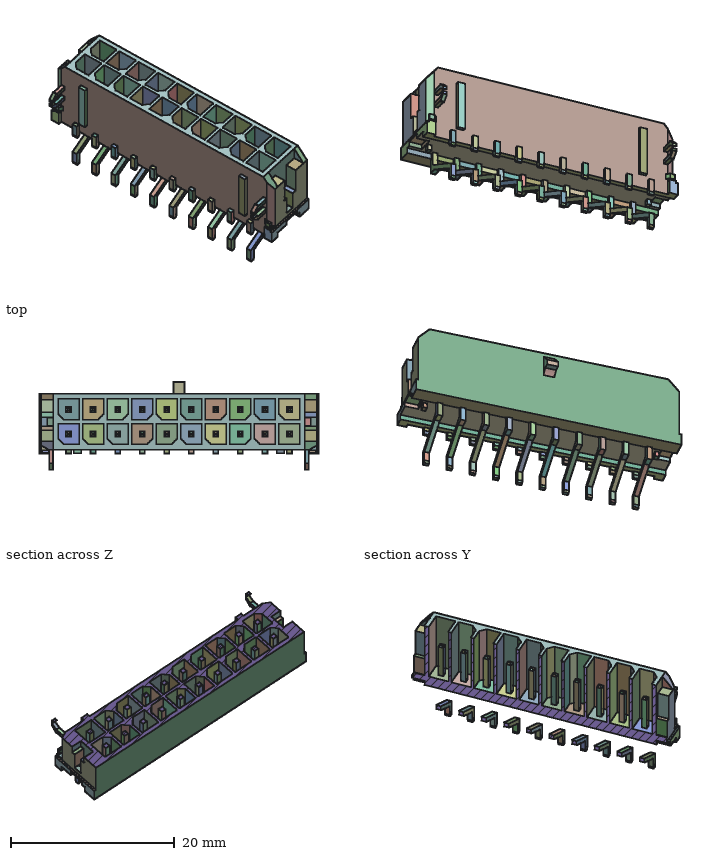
import cadquery as cq


LENGTH = 34.15
HALF_LENGTH = LENGTH / 2
DEPTH = 6.85
TOP = 9.9
BASE_TOP = 1.65
BASE_LEDGE = 0.27
END_X = HALF_LENGTH - BASE_LEDGE
TOP_CHAMFER_X = 1.45
TOP_CHAMFER_Z = 1.65
CORE_X = END_X - TOP_CHAMFER_X
SHOULDER_Z = TOP - TOP_CHAMFER_Z
BEVEL_WIDTH = 0.9
BEVEL_X = END_X - BEVEL_WIDTH
BEVEL_Y = 0.5
OVERHANG = 0.48
FOOT_TOP = 1.88
CHANNEL_Y = (0.72, 5.05)
CHANNEL_TOP = 0.72

UPPER_RECESS_Y = (1.02, 6.15)
WIDE_SLOT_Y = (2.4, 4.6)
WIDE_SLOT_FLOOR = 4.75
NARROW_SLOT_Y = (2.87, 4.0)
NARROW_SLOT_FLOOR = 2.25
NOTCH_Y = (2.45, 4.55)
NOTCH_TOP = 1.33

BACK_KEYS = "LRRRLLRRLL"
FRONT_KEYS = "LLLRRLLRL-"
COLUMNS = len(BACK_KEYS)
ROW_LENGTH = 26.98
PITCH = ROW_LENGTH / (COLUMNS - 1)
CAVITY_SIDE = 2.55
CAVITY_KEY = 0.72
CAVITY_FLOOR = 2.25
BACK_ROW_Y = DEPTH / 2 + PITCH / 2
FRONT_ROW_Y = DEPTH / 2 - PITCH / 2

PIN = 0.65
PIN_TOP = 6.83
PIN_TAPER = 0.2
POST_TOP = 1.23
POST_BOTTOM = -0.82
LEAD_BOTTOM = -5.5
LEAD_ELBOW_Z = -1.95
LEAD_BEND_RADIUS = 0.25
LEAD_OUTER_KNEE_Z = -3.52
LEAD_INNER_KNEE_Z = -3.85
LEAD_SLOPE_START_Y = 4.15
TIP_BEVEL_Y = 0.1
TIP_BEVEL_Z = 0.3
POST_BACK_BEVEL_Y = 0.27

RAIL_X = 12.4
RAIL_WIDTH = 0.95
RAIL_FRONT_Y = -0.45

LATCH_WIDTH = 1.4
LATCH_TIP_Y = 8.3
LATCH_FLAT_Y = 7.55
LATCH_RAMP_TOP = 9.32
LATCH_RAMP_END = 7.75
LATCH_UNDERSIDE = 7.05
LATCH_ROOT = 6.42
LATCH_ARC_MIDDLE = (7.27, 6.83)

CLIP_THICKNESS = 0.5
CLIP_X = CORE_X + CLIP_THICKNESS
CLIP_MID_Z = 5.33
CLIP_TIP_Y = -2.45
CLIP_BARB_Y = -1.65
CLIP_ARM_INNER = 0.6
CLIP_ARM_OUTER = 1.13
CLIP_BARB = 0.15
CLIP_TIP_INNER = 0.17
CLIP_TIP_OUTER = 0.55
CLIP_TAIL_X = (14.7, 15.2)
CLIP_TAIL_Y = (3.18, 3.82)
CLIP_SEAT_Y = (2.95, 3.93)
CLIP_SEAT_END_X = 16.12
CLIP_SEAT_DEPTH = 0.35

TAB_Z = (2.12, 2.8)
TAB_TIP_X = 16.7
TAB_BEND_X = 16.0
TAB_ROOT_X = 15.6
TAB_FRONT_Y = -0.38
TAB_BACK_Y = -0.07


def block(x, y, z):
    """Box spanning the given (low, high) range on each axis."""
    size = (x[1] - x[0], y[1] - y[0], z[1] - z[0])
    return cq.Workplane().box(*size, centered=False).translate((x[0], y[0], z[0]))


def side_profile(points, x_centre, width):
    """Extrude a (Y, Z) outline along X, centred on x_centre."""
    outline = cq.Workplane("YZ").polyline(points).close()
    return outline.extrude(width / 2, both=True).translate((x_centre, 0, 0))


def both_ends(shape):
    """The shape together with its mirror image about X = 0."""
    return shape.union(shape.mirror("YZ"))


def column_x(column):
    return column * PITCH - ROW_LENGTH / 2


def housing_body():
    half_outline = [(END_X, 0), (END_X, SHOULDER_Z), (CORE_X, TOP)]
    left_half = [(-x, z) for x, z in reversed(half_outline)]
    body = cq.Workplane("XZ").polyline(half_outline + left_half).close().extrude(-DEPTH)
    bevel = cq.Workplane().polyline([(BEVEL_X, 0), (END_X, 0), (END_X, BEVEL_Y)]).close().extrude(TOP)
    body = body.cut(both_ends(bevel))
    body = body.union(block((-HALF_LENGTH, HALF_LENGTH), (0, DEPTH), (0, BASE_TOP)))
    foot = block((BEVEL_X, HALF_LENGTH), (-OVERHANG, BEVEL_Y), (0, BASE_TOP))
    foot_cap = block((BEVEL_X, END_X), (-OVERHANG, BEVEL_Y), (0, FOOT_TOP))
    body = body.union(both_ends(foot.union(foot_cap)))
    return body.cut(block((-HALF_LENGTH, HALF_LENGTH), CHANNEL_Y, (0, CHANNEL_TOP)))


def end_recesses():
    beyond_core = (CORE_X, HALF_LENGTH)
    recesses = block(beyond_core, UPPER_RECESS_Y, (SHOULDER_Z, TOP))
    recesses = recesses.union(block(beyond_core, WIDE_SLOT_Y, (WIDE_SLOT_FLOOR, TOP)))
    recesses = recesses.union(block(beyond_core, NARROW_SLOT_Y, (NARROW_SLOT_FLOOR, TOP)))
    recesses = recesses.union(block(beyond_core, NOTCH_Y, (0, NOTCH_TOP)))
    seat_z = (NARROW_SLOT_FLOOR - CLIP_SEAT_DEPTH, NARROW_SLOT_FLOOR)
    recesses = recesses.union(block((CORE_X, CLIP_SEAT_END_X), CLIP_SEAT_Y, seat_z))
    return both_ends(recesses)


def cavity(x, y, key):
    """Square cavity open at the top, with an optional chamfered front corner."""
    depth = TOP - CAVITY_FLOOR
    pocket = cq.Workplane().box(CAVITY_SIDE, CAVITY_SIDE, depth, centered=(True, True, False))
    if key == "L":
        pocket = pocket.edges("|Z and <X and <Y").chamfer(CAVITY_KEY)
    elif key == "R":
        pocket = pocket.edges("|Z and >X and <Y").chamfer(CAVITY_KEY)
    return pocket.translate((x, y, CAVITY_FLOOR))


def contact(x, y):
    """Square contact standing in a cavity, tapered at its top."""
    pin = block((x - PIN / 2, x + PIN / 2), (y - PIN / 2, y + PIN / 2), (CHANNEL_TOP, PIN_TOP))
    return pin.faces(">Z").chamfer(PIN_TAPER)


def front_post(x):
    front, back = -OVERHANG, PIN - OVERHANG
    tip_z = POST_BOTTOM + TIP_BEVEL_Z
    outline = [
        (front, POST_TOP),
        (back, POST_TOP),
        (back, tip_z),
        (back - POST_BACK_BEVEL_Y, POST_BOTTOM),
        (front + TIP_BEVEL_Y, POST_BOTTOM),
        (front, tip_z),
    ]
    return side_profile(outline, x, PIN)


def bent_lead(x):
    """Lead that drops from the back row, slopes forward and drops again."""
    back, inner = BACK_ROW_Y + PIN / 2, BACK_ROW_Y - PIN / 2
    toe_front, toe_back = -OVERHANG, PIN - OVERHANG
    tip_z = LEAD_BOTTOM + TIP_BEVEL_Z
    slope = (LEAD_ELBOW_Z - LEAD_INNER_KNEE_Z) / (LEAD_SLOPE_START_Y - toe_back)
    bend_z = LEAD_OUTER_KNEE_Z + slope * (inner - toe_front)
    outline = [
        (back, CHANNEL_TOP),
        (back, LEAD_ELBOW_Z),
        (LEAD_SLOPE_START_Y, LEAD_ELBOW_Z),
        (toe_back, LEAD_INNER_KNEE_Z),
        (toe_back, tip_z),
        (toe_back - TIP_BEVEL_Y, LEAD_BOTTOM),
        (toe_front + TIP_BEVEL_Y, LEAD_BOTTOM),
        (toe_front, tip_z),
        (toe_front, LEAD_OUTER_KNEE_Z),
        (inner, bend_z),
        (inner, CHANNEL_TOP),
    ]
    lead = side_profile(outline, x, PIN)
    bend_edge = cq.NearestToPointSelector((x, inner, bend_z))
    return lead.edges("|X").edges(bend_edge).fillet(LEAD_BEND_RADIUS)


def latch():
    outline = (
        cq.Workplane("YZ")
        .moveTo(DEPTH, LATCH_RAMP_TOP)
        .lineTo(LATCH_TIP_Y, LATCH_RAMP_END)
        .lineTo(LATCH_TIP_Y, LATCH_UNDERSIDE)
        .lineTo(LATCH_FLAT_Y, LATCH_UNDERSIDE)
        .threePointArc(LATCH_ARC_MIDDLE, (DEPTH, LATCH_ROOT))
        .close()
    )
    return outline.extrude(LATCH_WIDTH / 2, both=True)


def board_clip():
    """Barbed two-arm fork reaching forward, with a tail peg under the housing end."""
    centre = (CLIP_X + CORE_X) / 2
    upper_arm = [
        (BEVEL_Y, CLIP_ARM_INNER),
        (BEVEL_Y, CLIP_ARM_OUTER),
        (CLIP_BARB_Y, CLIP_ARM_OUTER),
        (CLIP_BARB_Y, CLIP_ARM_OUTER + CLIP_BARB),
        (CLIP_TIP_Y, CLIP_TIP_OUTER),
        (CLIP_TIP_Y, CLIP_TIP_INNER),
        (CLIP_BARB_Y, CLIP_ARM_INNER),
    ]
    clip = block(CLIP_TAIL_X, CLIP_TAIL_Y, (0, NOTCH_TOP))
    for side in (1, -1):
        arm = [(y, CLIP_MID_Z + side * offset) for y, offset in upper_arm]
        clip = clip.union(side_profile(arm, centre, CLIP_THICKNESS))
    return both_ends(clip)


def corner_tab():
    """Tab that leaves the front wall at an angle and then runs outward."""
    outline = [
        (TAB_ROOT_X, 0),
        (TAB_BEND_X, TAB_FRONT_Y),
        (TAB_TIP_X, TAB_FRONT_Y),
        (TAB_TIP_X, TAB_BACK_Y),
        (TAB_BEND_X, TAB_BACK_Y),
        (BEVEL_X, 0),
        (BEVEL_X, BEVEL_Y),
        (TAB_ROOT_X, BEVEL_Y),
    ]
    tab = cq.Workplane().polyline(outline).close().extrude(TAB_Z[1] - TAB_Z[0])
    return both_ends(tab.translate((0, 0, TAB_Z[0])))


def front_rail():
    x_range = (RAIL_X - RAIL_WIDTH / 2, RAIL_X + RAIL_WIDTH / 2)
    return both_ends(block(x_range, (RAIL_FRONT_Y, 0), (FOOT_TOP, SHOULDER_Z)))


result = housing_body().cut(end_recesses())
for row_y, keys in ((BACK_ROW_Y, BACK_KEYS), (FRONT_ROW_Y, FRONT_KEYS)):
    for column, key in enumerate(keys):
        x = column_x(column)
        result = result.cut(cavity(x, row_y, key)).union(contact(x, row_y))
for column in range(COLUMNS):
    x = column_x(column)
    result = result.union(front_post(x)).union(bent_lead(x))
result = result.union(latch()).union(board_clip()).union(corner_tab()).union(front_rail())